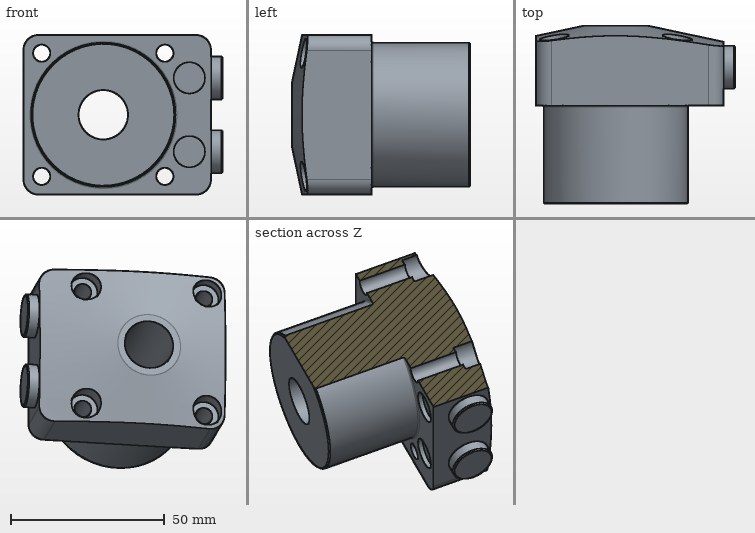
import cadquery as cq
import math


block_left = 26.0
block_right = 35.05
block_height = 2 * block_left
block_depth = 26.0
corner_radius = 5.0
crown_radius = 10.4
crown_slope = 12.0

boss_diameter = 47.0
boss_length = 32.0
boss_chamfer = 0.45
boss_root_fillet = 0.4
bore_diameter = 16.0

bolt_offset = 20.0
bolt_diameter = 5.5
counterbore_diameter = 9.5
counterbore_floor = 16.2

port_offset = 12.0
port_recess_x = 28.0
port_recess_diameter = 10.2
port_recess_depth = 1.7

plug_diameter = 14.05
plug_length = 3.75
plug_chamfer = 0.45
plug_y = 12.45


def cylinder_along_y(diameter, start_y, end_y, x=0, z=0):
    """Cylinder parallel to Y between two Y positions."""
    base = cq.Workplane("XZ", origin=(x, start_y, z))
    return base.circle(diameter / 2).extrude(start_y - end_y)


def make_crown_envelope():
    """Turned shape whose flat and conical back trims the block."""
    reach = math.hypot(block_right, block_left)
    rim_y = block_depth - (reach - crown_radius) * math.tan(math.radians(crown_slope))
    profile = [(0, 0), (reach, 0), (reach, rim_y), (crown_radius, block_depth), (0, block_depth)]
    return cq.Workplane("XY").polyline(profile).close().revolve(360, (0, 0, 0), (0, 1, 0))


def make_block():
    """Rectangular block with rounded corners and a conical back."""
    block = (
        cq.Workplane("XY")
        .box(block_left + block_right, block_depth, block_height, centered=(False, False, True))
        .translate((-block_left, 0, 0))
        .edges("|Y")
        .fillet(corner_radius)
    )
    return block.intersect(make_crown_envelope())


def make_boss():
    """Turned boss with a chamfered end and a concave fillet at its root."""
    radius = boss_diameter / 2
    root_middle = boss_root_fillet * (1 - math.sqrt(0.5))
    profile = (
        cq.Workplane("XY")
        .lineTo(radius + boss_root_fillet, 0)
        .threePointArc((radius + root_middle, -root_middle), (radius, -boss_root_fillet))
        .lineTo(radius, boss_chamfer - boss_length)
        .lineTo(radius - boss_chamfer, -boss_length)
        .lineTo(0, -boss_length)
        .close()
    )
    return profile.revolve(360, (0, 0, 0), (0, 1, 0))


def make_housing():
    """Block and boss in one piece, with bore, bolt holes and port recesses."""
    housing = make_block().union(make_boss())
    housing = housing.cut(cylinder_along_y(bore_diameter, -boss_length, block_depth))
    for x in (-bolt_offset, bolt_offset):
        for z in (-bolt_offset, bolt_offset):
            housing = housing.cut(cylinder_along_y(bolt_diameter, 0, block_depth, x, z))
            housing = housing.cut(
                cylinder_along_y(counterbore_diameter, counterbore_floor, block_depth, x, z)
            )
    for z in (-port_offset, port_offset):
        housing = housing.cut(
            cylinder_along_y(port_recess_diameter, 0, port_recess_depth, port_recess_x, z)
        )
    return housing


def make_plug(z):
    """Round plug seated on the +X side of the block, chamfered at its outer end."""
    return (
        cq.Workplane("YZ", origin=(block_right, plug_y, z))
        .circle(plug_diameter / 2)
        .extrude(plug_length)
        .faces(">X")
        .chamfer(plug_chamfer)
    )


housing = make_housing()
plugs = [make_plug(z) for z in (-port_offset, port_offset)]

result = cq.Compound.makeCompound([housing.val(), *[plug.val() for plug in plugs]])